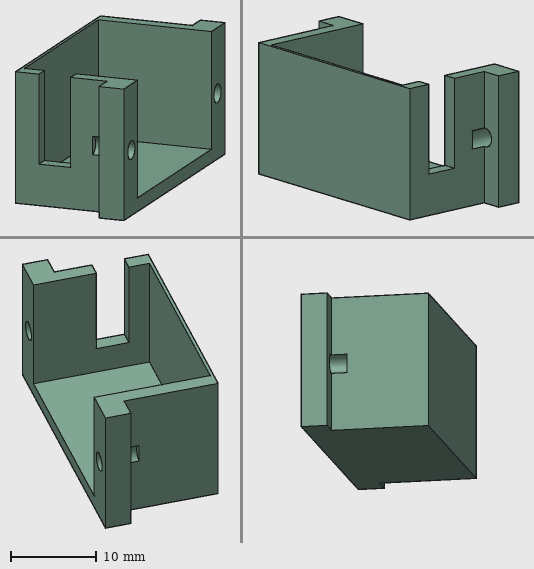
import cadquery as cq

depth = 14.7
flange_span = 32.2
height = 16.0

body_span = 27.05
side_wall = 1.77
back_wall = 0.42
floor_thickness = 1.67

flange_thickness = 3.12

slot_start = 2.95
slot_width = 4.0
slot_floor = 5.05

hole_diameter = 2.25
hole_offset = 13.7
hole_length = 4.95


def box_from(x, y, z, length, width, tall):
    """Box with its minimum corner at (x, y, z)."""
    return cq.Workplane("XY").box(length, width, tall, centered=False).translate((x, y, z))


def make_shell():
    """Body and flanges, hollowed out and open at the top and on the +X side."""
    body = box_from(0, -body_span / 2, 0, depth, body_span, height)
    flanges = box_from(
        depth - flange_thickness, -flange_span / 2, 0, flange_thickness, flange_span, height
    )
    cavity_span = body_span - 2 * side_wall
    cavity = box_from(
        back_wall, -cavity_span / 2, floor_thickness,
        depth - back_wall, cavity_span, height - floor_thickness,
    )
    return body.union(flanges).cut(cavity)


def make_slot():
    """Cutter for the slot through the -Y wall."""
    return box_from(
        slot_start, -body_span / 2, slot_floor, slot_width, side_wall, height - slot_floor
    )


def make_screw_holes():
    """Cutters for one blind hole at each flange, at mid height."""
    return (
        cq.Workplane("YZ", origin=(depth - hole_length, 0, height / 2))
        .pushPoints([(-hole_offset, 0), (hole_offset, 0)])
        .circle(hole_diameter / 2)
        .extrude(hole_length)
    )


result = make_shell().cut(make_slot()).cut(make_screw_holes())